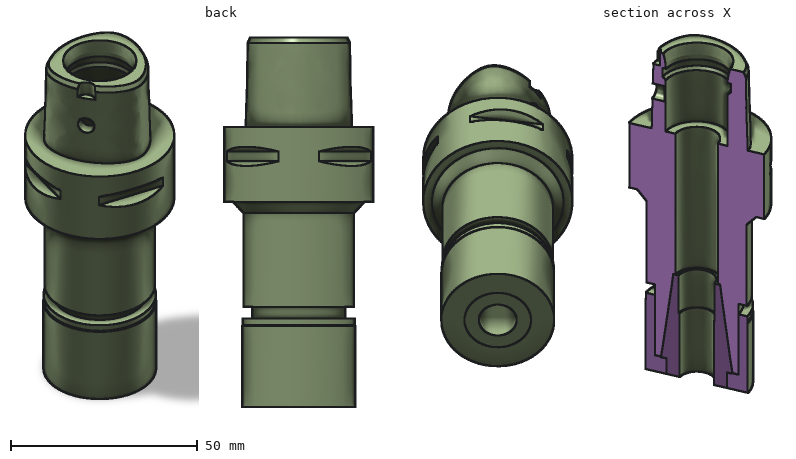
import cadquery as cq
import math

total_height = 99.0
flange_top = 75.0
flange_bottom = 54.9
cone_bottom = 52.0
body_bottom = 26.8
nut_top = 23.8
nut_collar_bottom = 22.0
nut_shoulder = 21.7
nut_floor = 4.95

flange_radius = 20.0
cone_top_radius = 17.6
body_radius = 14.85
neck_radius = 12.5
nut_radius = 15.1
nut_collar_radius = 15.0

shank_base_radius = 14.3
shank_lobe = 0.9
shank_taper = 1 / 40
shank_chamfer_height = 1.5
shank_chamfer_width = 0.7

mouth_radius = 9.8
bore_radius = 9.1
throat_depth = 3.4
groove_radius = 10.0
groove_top_depth = 4.8
groove_bottom_depth = 7.2
groove_flank_width = groove_radius - bore_radius
bore_floor = flange_top
passage_radius = 6.2

notch_radius = 2.6
notch_centre = 13.5
notch_depth = 4.0
pocket_radius = 2.3
pocket_height = 86.5
pocket_floor_distance = 9.6

slot_count = 4
slot_height = 67.1
slot_floor_distance = 17.4
slot_floor_width = 2.6
slot_mouth_width = 5.1

collet_length = 31.5
collet_nose_radius = 8.9
collet_large_radius = 10.5
collet_small_radius = 6.8
collet_bore_radius = 5.0
collet_relief_radius = 5.2
collet_grip_length = 19.8


def revolve(points):
    """Solid of revolution about Z from (radius, height) points."""
    return cq.Workplane("XZ").polyline(points).close().revolve(360, (0, 0, 0), (0, 1, 0))


def lobed_outline(radius, height):
    """Closed three-lobed curve of constant width, with one lobe toward +Y."""
    def point(t):
        reach = radius - shank_lobe * math.cos(3 * t)
        slide = -3 * shank_lobe * math.sin(3 * t)
        x = reach * math.sin(t) - slide * math.cos(t)
        y = -reach * math.cos(t) - slide * math.sin(t)
        return (x, y, height)

    curve = cq.Workplane("XY").parametricCurve(lambda u: point(2 * math.pi * u), N=120)
    return cq.Wire.assembleEdges(curve.edges().vals())


def make_shank():
    chamfer_start = total_height - shank_chamfer_height
    chamfer_start_radius = shank_base_radius - shank_taper * (chamfer_start - flange_top)
    base = lobed_outline(shank_base_radius, flange_top)
    shoulder = lobed_outline(chamfer_start_radius, chamfer_start)
    tip = lobed_outline(chamfer_start_radius - shank_chamfer_width, total_height)
    taper = cq.Workplane(cq.Solid.makeLoft([base, shoulder], True))
    chamfer = cq.Workplane(cq.Solid.makeLoft([shoulder, tip], True))
    return taper.union(chamfer)


def make_shank_bore():
    return revolve([
        (0, total_height),
        (mouth_radius, total_height),
        (bore_radius, total_height - throat_depth),
        (bore_radius, total_height - groove_top_depth),
        (groove_radius, total_height - groove_top_depth),
        (groove_radius, total_height - groove_bottom_depth),
        (bore_radius, total_height - groove_bottom_depth - groove_flank_width),
        (bore_radius, bore_floor),
        (0, bore_floor),
    ])


def make_gripper_slot():
    """Straight slot with sloping sides, cut into the +X side of the flange."""
    reach = flange_radius - slot_floor_distance
    side_slope = (slot_mouth_width - slot_floor_width) / 2 / reach
    outer = slot_floor_distance + 2 * reach
    half_floor = slot_floor_width / 2
    half_outer = half_floor + side_slope * 2 * reach
    profile = [
        (slot_floor_distance, slot_height - half_floor),
        (outer, slot_height - half_outer),
        (outer, slot_height + half_outer),
        (slot_floor_distance, slot_height + half_floor),
    ]
    return cq.Workplane("XZ").polyline(profile).close().extrude(flange_radius, both=True)


def make_collet_blank():
    """Outer shape of the collet: plain nose, then a long taper."""
    return revolve([
        (0, 0),
        (collet_nose_radius, 0),
        (collet_nose_radius, nut_floor),
        (collet_large_radius, nut_floor),
        (collet_small_radius, collet_length),
        (0, collet_length),
    ])


def make_holder():
    holder = revolve([
        (0, nut_floor),
        (neck_radius, nut_floor),
        (neck_radius, body_bottom),
        (body_radius, body_bottom),
        (body_radius, cone_bottom),
        (cone_top_radius, flange_bottom),
        (flange_radius, flange_bottom),
        (flange_radius, flange_top),
        (0, flange_top),
    ])
    holder = holder.union(make_shank()).cut(make_shank_bore())

    passage = (
        cq.Workplane("XY").workplane(offset=nut_floor)
        .circle(passage_radius).extrude(bore_floor - nut_floor)
    )
    holder = holder.cut(passage).cut(make_collet_blank())

    notch = (
        cq.Workplane("XY").workplane(offset=total_height - notch_depth)
        .center(0, -notch_centre).circle(notch_radius).extrude(notch_depth)
    )
    pocket = (
        cq.Workplane("XZ", origin=(0, -pocket_floor_distance, pocket_height))
        .circle(pocket_radius).extrude(flange_radius - pocket_floor_distance)
    )
    holder = holder.cut(notch).cut(pocket)

    slot = make_gripper_slot()
    slot_pitch = 360 / slot_count
    for i in range(slot_count):
        holder = holder.cut(slot.rotate((0, 0, 0), (0, 0, 1), slot_pitch * (i + 0.5)))
    return holder


def make_nut():
    """Cup-shaped nut with a slightly smaller collar at its open end."""
    return revolve([
        (collet_nose_radius, 0),
        (nut_radius, 0),
        (nut_radius, nut_shoulder),
        (nut_collar_radius, nut_collar_bottom),
        (nut_collar_radius, nut_top),
        (neck_radius, nut_top),
        (neck_radius, nut_floor),
        (collet_nose_radius, nut_floor),
    ])


def make_collet():
    """Collet with a gripping bore at the nose and a wider relief above it."""
    bore = revolve([
        (0, 0),
        (collet_bore_radius, 0),
        (collet_bore_radius, collet_grip_length),
        (collet_relief_radius, collet_grip_length),
        (collet_relief_radius, collet_length),
        (0, collet_length),
    ])
    return make_collet_blank().cut(bore)


holder = make_holder()
nut = make_nut()
collet = make_collet()

result = cq.Compound.makeCompound([holder.solids().val(), nut.solids().val(), collet.solids().val()])